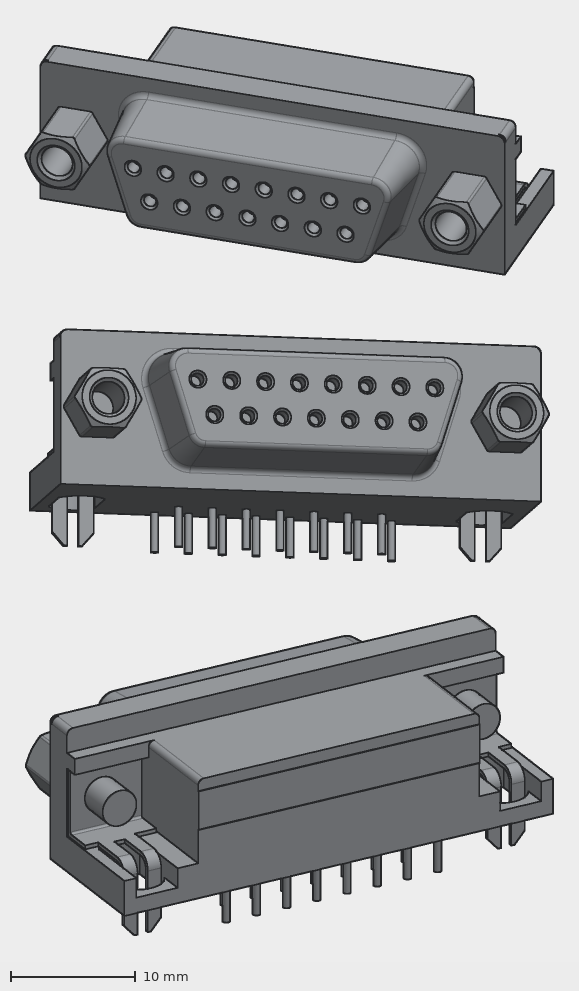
import cadquery as cq
import math


WIDTH = 39.25
FLANGE_HEIGHT = 12.6
FLANGE_DEPTH = 2.8
FRONT_PLATE_DEPTH = 0.27
FLANGE_CORNER = 0.55
FRONT_PLATE_CORNER = 0.6

BLOCK_WIDTH = 25.75
BLOCK_HEIGHT = 10.5
BLOCK_CORNER = 0.5
REAR = 12.25
REAR_PANEL_DEPTH = 0.08
REAR_PANEL_BOTTOM = 6.1
REAR_PANEL_TOP = 9.5
LEDGE_REAR = 4.1
LEDGE_BOTTOM = 9.1
EAR_HEIGHT = 3.1
CHANNEL_WIDTH = 3.75
CHANNEL_FLOOR = 1.37
SLOT_FRONT = 6.05
SLOT_REAR = 10.1
SLOT_END_BULGE = 1.18

NOSE_LENGTH = 6.2
NOSE_TOP_ARC_X = 10.48
NOSE_TOP_ARC_Z = 8.83
NOSE_BOTTOM_ARC_X = 9.05
NOSE_BOTTOM_ARC_Z = 3.65
NOSE_TOP_RADIUS = 2.1
NOSE_BOTTOM_RADIUS = 1.92
NOSE_TAPER = 6.0
NOSE_TIP_FILLET = 0.47
NOSE_ROOT_FILLET = 0.47

LONG_ROW_COUNT = 8
LONG_ROW_SPAN = 19.35
PITCH = LONG_ROW_SPAN / (LONG_ROW_COUNT - 1)
LONG_ROW_Z = 7.75
LONG_ROW_PIN_Y = 11.1
SHORT_ROW_Z = 4.95
SHORT_ROW_PIN_Y = 8.28
SOCKET_DIAMETER = 1.02
SOCKET_MOUTH_DIAMETER = 1.4
SOCKET_DEPTH = 1.55
PIN_DIAMETER = 0.63
PIN_LENGTH = 3.2

HARDWARE_X = 16.65
HARDWARE_Z = FLANGE_HEIGHT / 2
HEX_ACROSS_FLATS = 4.8
HEX_LENGTH = 4.83
HEX_EDGE_FILLET = 0.25
HEX_END_DIAMETER = 4.4
HEX_CHAMFER_ANGLE = 35.0
BORE_DIAMETER = 2.63
BORE_MOUTH_DIAMETER = 3.18
BARREL_DIAMETER = 3.1
BARREL_REAR = 6.1
SHEET = 0.35
PLATE_INNER_X = 13.0
PLATE_OUTER_X = 19.5
FOOT_REAR = 5.57
INNER_BEND = 0.2
TONGUE_WIDTH = 3.37
TONGUE_SLIT = 0.95
LEG_REAR = 9.9
LEG_BEND = 1.2
LEG_TIP_WIDTH = 0.27
LEG_TIP_HEIGHT = 1.05


def box(x_min, x_max, y_min, y_max, z_min, z_max):
    """Block between two opposite corners."""
    size = (x_max - x_min, y_max - y_min, z_max - z_min)
    return cq.Workplane("XY").box(*size, centered=False).translate((x_min, y_min, z_min))


def cylinder_along_y(x, z, diameter, y_front, y_rear):
    """Round bar parallel to Y."""
    workplane = cq.Workplane("XZ", origin=(x, y_rear, z))
    return workplane.circle(diameter / 2).extrude(y_rear - y_front)


def countersink(x, z, mouth_diameter, hole_diameter, y_mouth):
    """45-degree cone that widens the mouth of a hole facing -Y."""
    depth = (mouth_diameter - hole_diameter) / 2
    cone = cq.Solid.makeCone(
        mouth_diameter / 2, hole_diameter / 2, depth, cq.Vector(x, y_mouth, z), cq.Vector(0, 1, 0)
    )
    return cq.Workplane(cone)


def contact_rows():
    """Contact X, socket Z and solder pin Y for every contact."""
    contacts = []
    rows = (
        (LONG_ROW_COUNT, LONG_ROW_Z, LONG_ROW_PIN_Y),
        (LONG_ROW_COUNT - 1, SHORT_ROW_Z, SHORT_ROW_PIN_Y),
    )
    for count, socket_z, pin_y in rows:
        for index in range(count):
            contacts.append(((index - (count - 1) / 2) * PITCH, socket_z, pin_y))
    return contacts


def make_flange():
    half = WIDTH / 2
    backing = box(-half, half, FRONT_PLATE_DEPTH, FLANGE_DEPTH, 0, FLANGE_HEIGHT)
    backing = backing.edges("|Y and >Z").fillet(FLANGE_CORNER)
    front_plate = box(-half, half, 0, FRONT_PLATE_DEPTH, 0, FLANGE_HEIGHT)
    front_plate = front_plate.edges("|Y and >Z").fillet(FRONT_PLATE_CORNER)
    return backing.union(front_plate)


def make_nose():
    """Tapered D with round corners, its tip rounded over."""
    across = NOSE_TOP_ARC_X - NOSE_BOTTOM_ARC_X
    upward = NOSE_TOP_ARC_Z - NOSE_BOTTOM_ARC_Z
    radius_step = NOSE_TOP_RADIUS - NOSE_BOTTOM_RADIUS
    slant = math.atan2(across, upward) + math.asin(radius_step / math.hypot(across, upward))

    def on_arc(center_x, center_z, radius, angle):
        return (center_x + radius * math.cos(angle), center_z + radius * math.sin(angle))

    def mirrored(point):
        return (-point[0], point[1])

    top_arc = (NOSE_TOP_ARC_X, NOSE_TOP_ARC_Z, NOSE_TOP_RADIUS)
    bottom_arc = (NOSE_BOTTOM_ARC_X, NOSE_BOTTOM_ARC_Z, NOSE_BOTTOM_RADIUS)
    top_start = on_arc(*top_arc, math.pi / 2)
    top_middle = on_arc(*top_arc, (math.pi / 2 - slant) / 2)
    top_end = on_arc(*top_arc, -slant)
    bottom_start = on_arc(*bottom_arc, -slant)
    bottom_middle = on_arc(*bottom_arc, -(math.pi / 2 + slant) / 2)
    bottom_end = on_arc(*bottom_arc, -math.pi / 2)
    outline = (
        cq.Workplane("XZ")
        .moveTo(*mirrored(top_start))
        .lineTo(*top_start)
        .threePointArc(top_middle, top_end)
        .lineTo(*bottom_start)
        .threePointArc(bottom_middle, bottom_end)
        .lineTo(*mirrored(bottom_end))
        .threePointArc(mirrored(bottom_middle), mirrored(bottom_start))
        .lineTo(*mirrored(top_end))
        .threePointArc(mirrored(top_middle), mirrored(top_start))
        .close()
    )
    nose = outline.extrude(NOSE_LENGTH, taper=NOSE_TAPER)
    return nose.faces("<Y").edges().fillet(NOSE_TIP_FILLET)


def add_root_fillet(flange_and_nose):
    """Concave fillet where the nose leaves the flange."""
    half_width = NOSE_TOP_ARC_X + NOSE_TOP_RADIUS + NOSE_ROOT_FILLET
    reach = FRONT_PLATE_DEPTH / 2
    root = cq.selectors.BoxSelector(
        (-half_width, -reach, NOSE_ROOT_FILLET),
        (half_width, reach, FLANGE_HEIGHT - NOSE_ROOT_FILLET),
        boundingbox=True,
    )
    return flange_and_nose.edges(root).fillet(NOSE_ROOT_FILLET)


def make_moulding():
    """Centre block, ledge over the brackets and the two low ears."""
    half_block = BLOCK_WIDTH / 2
    half = WIDTH / 2
    block = box(-half_block, half_block, FLANGE_DEPTH, REAR, 0, BLOCK_HEIGHT)
    block = block.edges("|Y and >Z").fillet(BLOCK_CORNER)
    rear_panel = box(
        -half_block, half_block, REAR, REAR + REAR_PANEL_DEPTH, REAR_PANEL_BOTTOM, REAR_PANEL_TOP
    )
    ledge = box(-half, half, FLANGE_DEPTH, LEDGE_REAR, LEDGE_BOTTOM, BLOCK_HEIGHT)
    ears = box(-half, half, FLANGE_DEPTH, REAR, 0, EAR_HEIGHT)
    return block.union(rear_panel).union(ledge).union(ears)


def cut_ear_slot(body, center_x):
    """Slot through the ear for the board-lock legs, and the channel behind it."""
    half = CHANNEL_WIDTH / 2
    slot = (
        cq.Workplane("XY")
        .moveTo(center_x - half, SLOT_FRONT)
        .threePointArc((center_x, SLOT_FRONT - SLOT_END_BULGE), (center_x + half, SLOT_FRONT))
        .lineTo(center_x + half, SLOT_REAR)
        .threePointArc((center_x, SLOT_REAR + SLOT_END_BULGE), (center_x - half, SLOT_REAR))
        .close()
        .extrude(EAR_HEIGHT)
    )
    channel = box(center_x - half, center_x + half, SLOT_FRONT, REAR, CHANNEL_FLOOR, EAR_HEIGHT)
    return body.cut(slot).cut(channel)


def add_contacts(body):
    """Blind countersunk sockets in the nose and a round solder pin for each."""
    for x, socket_z, pin_y in contact_rows():
        socket = cylinder_along_y(x, socket_z, SOCKET_DIAMETER, -NOSE_LENGTH, SOCKET_DEPTH - NOSE_LENGTH)
        mouth = countersink(x, socket_z, SOCKET_MOUTH_DIAMETER, SOCKET_DIAMETER, -NOSE_LENGTH)
        pin = cq.Workplane("XY", origin=(x, pin_y, 0)).circle(PIN_DIAMETER / 2).extrude(-PIN_LENGTH)
        body = body.cut(socket).cut(mouth).union(pin)
    return body


def make_housing():
    housing = add_root_fillet(make_flange().union(make_nose()))
    housing = housing.union(make_moulding())
    for side in (-1, 1):
        center_x = side * HARDWARE_X
        housing = cut_ear_slot(housing, center_x)
        housing = housing.cut(
            cylinder_along_y(center_x, HARDWARE_Z, BARREL_DIAMETER, 0, FLANGE_DEPTH)
        )
    return add_contacts(housing)


def make_jack():
    """Hex jack with a chamfered end and a blind bore, on a barrel through the flange."""
    hex_corner_radius = HEX_ACROSS_FLATS / math.sqrt(3)
    end_radius = HEX_END_DIAMETER / 2
    chamfer_depth = (hex_corner_radius - end_radius) * math.tan(math.radians(HEX_CHAMFER_ANGLE))
    axis_origin = cq.Workplane("XZ", origin=(HARDWARE_X, 0, HARDWARE_Z))
    prism = axis_origin.polygon(6, 2 * hex_corner_radius).extrude(HEX_LENGTH)
    prism = prism.edges("|Y").fillet(HEX_EDGE_FILLET)
    envelope = (
        axis_origin.circle(hex_corner_radius)
        .extrude(HEX_LENGTH)
        .faces("<Y")
        .chamfer(chamfer_depth, hex_corner_radius - end_radius)
    )
    bore = cylinder_along_y(HARDWARE_X, HARDWARE_Z, BORE_DIAMETER, -HEX_LENGTH, 0)
    mouth = countersink(HARDWARE_X, HARDWARE_Z, BORE_MOUTH_DIAMETER, BORE_DIAMETER, -HEX_LENGTH)
    barrel = cylinder_along_y(HARDWARE_X, HARDWARE_Z, BARREL_DIAMETER, 0, BARREL_REAR)
    return prism.intersect(envelope).cut(bore).cut(mouth).union(barrel)


def make_bracket():
    """Sheet angle against the flange and the ear, with a slit tongue bent down into two legs."""
    foot_top = EAR_HEIGHT + SHEET
    upright_rear = FLANGE_DEPTH + SHEET
    angle = (
        cq.Workplane("YZ", origin=(PLATE_INNER_X, 0, 0))
        .moveTo(FLANGE_DEPTH, EAR_HEIGHT)
        .lineTo(FOOT_REAR, EAR_HEIGHT)
        .lineTo(FOOT_REAR, foot_top)
        .lineTo(upright_rear + INNER_BEND, foot_top)
        .radiusArc((upright_rear, foot_top + INNER_BEND), INNER_BEND)
        .lineTo(upright_rear, LEDGE_BOTTOM)
        .lineTo(FLANGE_DEPTH, LEDGE_BOTTOM)
        .close()
        .extrude(PLATE_OUTER_X - PLATE_INNER_X)
    )

    bend_y = LEG_REAR - LEG_BEND
    bend_z = foot_top - LEG_BEND
    inner_radius = LEG_BEND - SHEET
    half = TONGUE_WIDTH / 2
    tongue = (
        cq.Workplane("YZ", origin=(HARDWARE_X - half, 0, 0))
        .moveTo(FOOT_REAR, EAR_HEIGHT)
        .lineTo(FOOT_REAR, foot_top)
        .lineTo(bend_y, foot_top)
        .radiusArc((LEG_REAR, bend_z), LEG_BEND)
        .lineTo(LEG_REAR, -PIN_LENGTH)
        .lineTo(LEG_REAR - SHEET, -PIN_LENGTH)
        .lineTo(LEG_REAR - SHEET, bend_z)
        .radiusArc((bend_y, EAR_HEIGHT), -inner_radius)
        .close()
        .extrude(TONGUE_WIDTH)
    )
    half_slit = TONGUE_SLIT / 2
    slit = box(
        HARDWARE_X - half_slit, HARDWARE_X + half_slit, BARREL_REAR, LEG_REAR, -PIN_LENGTH, foot_top
    )
    tongue = tongue.cut(slit)
    for side in (-1, 1):
        tip_start = -PIN_LENGTH + LEG_TIP_HEIGHT
        outer_x = HARDWARE_X + side * half
        tip_x = HARDWARE_X + side * (half_slit + LEG_TIP_WIDTH)
        corner = (
            cq.Workplane("XZ", origin=(0, LEG_REAR, 0))
            .polyline([(outer_x, tip_start), (outer_x, -PIN_LENGTH), (tip_x, -PIN_LENGTH)])
            .close()
            .extrude(SHEET)
        )
        tongue = tongue.cut(corner)
    return angle.union(tongue)


def make_hardware(side):
    """Jack and bracket in one piece, on the +X (1) or -X (-1) side."""
    hardware = make_jack().union(make_bracket())
    if side < 0:
        hardware = hardware.mirror("YZ")
    return hardware


housing = make_housing()
hardware_sets = [make_hardware(side) for side in (-1, 1)]

result = cq.Compound.makeCompound(
    [housing.solids().val(), *[hardware.solids().val() for hardware in hardware_sets]]
)